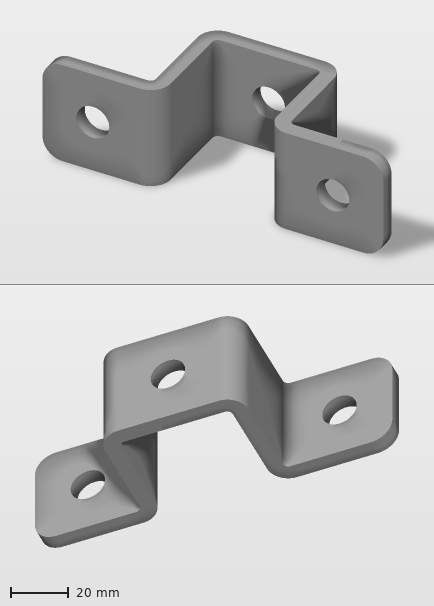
import cadquery as cq

length = 135.0
depth = 46.0
height = 40.0

thickness = 6.0
hat_width = 54.0
inner_bend_radius = 2.0
outer_bend_radius = inner_bend_radius + thickness

corner_radius = 8.0
hole_diameter = 13.0
hole_pitch = 47.5

half_length = length / 2
hat_outer = hat_width / 2
hat_inner = hat_outer - thickness
crown_inner = depth - thickness


def round_vertical_edges(body, points, radius):
    """Fillet the full-height edges standing at the given XY points."""
    edges = body.edges("|Z")
    for x, y in points:
        edge = edges.edges(cq.selectors.NearestToPointSelector((x, y, height / 2)))
        body = body.newObject([body.val().fillet(radius, edge.vals())])
        edges = body.edges("|Z")
    return body


def mirrored(points):
    """Return the points together with their reflections across X = 0."""
    return points + [(-x, y) for x, y in reversed(points)]


right_half = [
    (hat_inner, crown_inner),
    (hat_inner, 0),
    (half_length, 0),
    (half_length, thickness),
    (hat_outer, thickness),
    (hat_outer, depth),
]
strap = cq.Workplane("XY").polyline(mirrored(right_half)).close().extrude(height)

inside_bends = mirrored([(hat_inner, crown_inner), (hat_outer, thickness)])
outside_bends = mirrored([(hat_outer, depth), (hat_inner, 0)])
strap = round_vertical_edges(strap, inside_bends, inner_bend_radius)
strap = round_vertical_edges(strap, outside_bends, outer_bend_radius)

strap = strap.faces("<X or >X").edges("|Y").fillet(corner_radius)

holes = (
    cq.Workplane("XZ")
    .pushPoints([(x, height / 2) for x in (-hole_pitch, 0, hole_pitch)])
    .circle(hole_diameter / 2)
    .extrude(-depth)
)
result = strap.cut(holes)